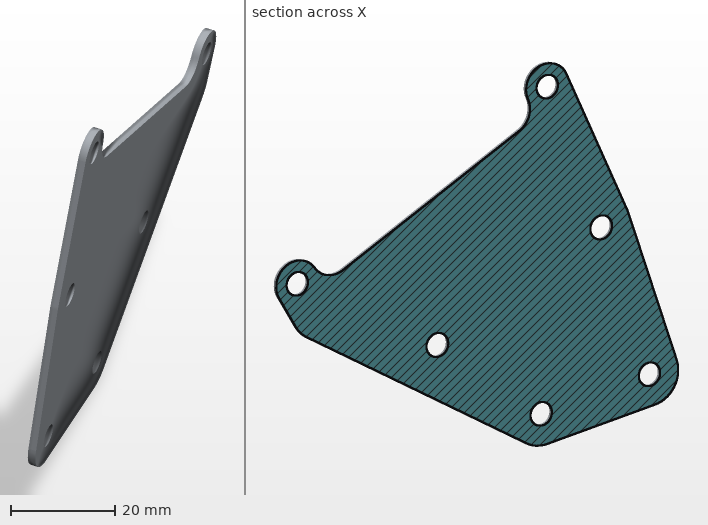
import cadquery as cq
import math

thickness = 1.6
small_hole_diameter = 4.6
large_hole_diameter = 4.7
ear_radius = 4.7
corner_radius = 6.4
notch_radius = 4.7
notch_offset = 3.8

left_ear = (39.5, 1.7)
top_ear = (-15.4, 33.4)
side_hole = (-27.25, 3.7)
inner_hole = (8.8, -14.8)
far_hole = (-37.9, -27.1)
bottom_hole = (-14.1, -31.7)
blank_corner = (34.4, -3.7)

small_holes = [left_ear, top_ear, far_hole, bottom_hole]
large_holes = [side_hole, inner_hole]

corners = [
    (top_ear, ear_radius),
    (side_hole, corner_radius),
    (far_hole, corner_radius),
    (bottom_hole, corner_radius),
    (blank_corner, corner_radius),
    (left_ear, ear_radius),
]


def point_at(center, radius, angle):
    """Point on a circle at the given angle."""
    return (center[0] + radius * math.cos(angle), center[1] + radius * math.sin(angle))


def direction(start, end):
    """Angle of the line from start to end."""
    return math.atan2(end[1] - start[1], end[0] - start[0])


def tangent_angle(first, second):
    """Angle of the outward normal of the outer tangent joining two corners."""
    (center_1, radius_1), (center_2, radius_2) = first, second
    distance = math.dist(center_1, center_2)
    return direction(center_1, center_2) - math.acos((radius_1 - radius_2) / distance)


def add_arc(path, center, radius, start, end, turn=1):
    """Add an arc from start to end angle; turn is 1 counterclockwise, -1 clockwise."""
    sweep = turn * ((turn * (end - start)) % (2 * math.pi))
    middle = point_at(center, radius, start + sweep / 2)
    return path.threePointArc(middle, point_at(center, radius, end))


ear_line = direction(left_ear, top_ear)
outward = ear_line - math.pi / 2
blend_lean = math.asin((notch_radius - notch_offset) / (ear_radius + notch_radius))
left_blend_angle = ear_line - blend_lean
top_blend_angle = ear_line + math.pi + blend_lean
left_blend = point_at(left_ear, ear_radius + notch_radius, left_blend_angle)
top_blend = point_at(top_ear, ear_radius + notch_radius, top_blend_angle)
inward = outward + math.pi

tangents = [tangent_angle(a, b) for a, b in zip(corners, corners[1:])]
arc_starts = [top_blend_angle] + tangents
arc_ends = tangents + [left_blend_angle]

outline = cq.Workplane("YZ").moveTo(*point_at(top_ear, ear_radius, top_blend_angle))
for index, (center, radius) in enumerate(corners):
    if index > 0:
        outline = outline.lineTo(*point_at(center, radius, arc_starts[index]))
    outline = add_arc(outline, center, radius, arc_starts[index], arc_ends[index])
outline = add_arc(outline, left_blend, notch_radius, left_blend_angle + math.pi, inward, -1)
outline = outline.lineTo(*point_at(top_blend, notch_radius, inward))
outline = add_arc(outline, top_blend, notch_radius, inward, top_blend_angle + math.pi, -1)

plate = outline.close().extrude(thickness)


def drill(body, centers, diameter):
    """Cut round holes through the full thickness of the plate."""
    pins = cq.Workplane("YZ").pushPoints(centers).circle(diameter / 2).extrude(thickness)
    return body.cut(pins)


plate = drill(plate, small_holes, small_hole_diameter)
plate = drill(plate, large_holes, large_hole_diameter)

result = plate.translate((-thickness / 2, 0, 0))